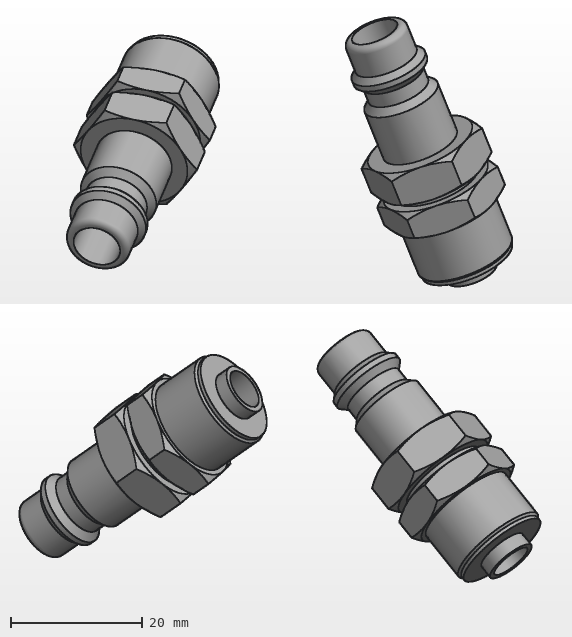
import cadquery as cq
import math

length = 43.0

nose_radius = 5.05
nose_rounding = 1.0
collar_radius = 6.0
neck_radius = 4.9
nose_end = 5.05
collar_start = 6.0
collar_end = 6.95
neck_start = 8.13
neck_end = 10.45
shank_start = 11.6

across_flats = 17.0
hex_chamfer_angle = math.radians(30)
body_hex_start = 20.05
body_hex_end = 25.75
nut_hex_start = 26.9
nut_hex_end = 31.6
thread_radius = 6.92

sleeve_radius = 7.7
sleeve_end = 39.78
rim_start = 40.15
rim_radius = 7.35
rim_end = 40.75
tail_radius = 4.0

bore_radius = 3.2
nose_bore_radius = 3.7
nose_bore_depth = body_hex_start


def revolve_about_y(points):
    """Turn a closed outline of (radius, Y) points about the Y axis."""
    return cq.Workplane("XY").polyline(points).close().revolve(360, (0, 0, 0), (0, 1, 0))


def cylinder(radius, start, end):
    """Cylinder on the Y axis between two Y positions."""
    return revolve_about_y([(0, start), (radius, start), (radius, end), (0, end)])


def chamfered_hexagon(start, end):
    """Hexagon with corners on +X and -X and conical chamfers on both faces."""
    flat_radius = across_flats / 2
    corner_radius = flat_radius / math.cos(math.pi / 6)
    chamfer_depth = (corner_radius - flat_radius) * math.tan(hex_chamfer_angle)
    prism = (
        cq.Workplane("XZ", origin=(0, start, 0))
        .polygon(6, 2 * corner_radius)
        .extrude(start - end)
    )
    envelope = revolve_about_y([
        (0, start),
        (flat_radius, start),
        (corner_radius, start + chamfer_depth),
        (corner_radius, end - chamfer_depth),
        (flat_radius, end),
        (0, end),
    ])
    return prism.intersect(envelope)


def plug_body():
    """All turned surfaces, from the nose to the hose tail."""
    turned = revolve_about_y([
        (0, 0),
        (nose_radius, 0),
        (nose_radius, nose_end),
        (collar_radius, collar_start),
        (collar_radius, collar_end),
        (neck_radius, neck_start),
        (neck_radius, neck_end),
        (collar_radius, shank_start),
        (collar_radius, body_hex_start),
        (thread_radius, body_hex_start),
        (thread_radius, nut_hex_end),
        (sleeve_radius, nut_hex_end),
        (sleeve_radius, sleeve_end),
        (rim_radius, rim_start),
        (rim_radius, rim_end),
        (tail_radius, rim_end),
        (tail_radius, length),
        (0, length),
    ])
    return turned.faces("<Y").edges().fillet(nose_rounding)


result = plug_body()
for hex_start, hex_end in ((body_hex_start, body_hex_end), (nut_hex_start, nut_hex_end)):
    result = result.union(chamfered_hexagon(hex_start, hex_end))

result = result.cut(cylinder(bore_radius, 0, length))
result = result.cut(cylinder(nose_bore_radius, 0, nose_bore_depth))